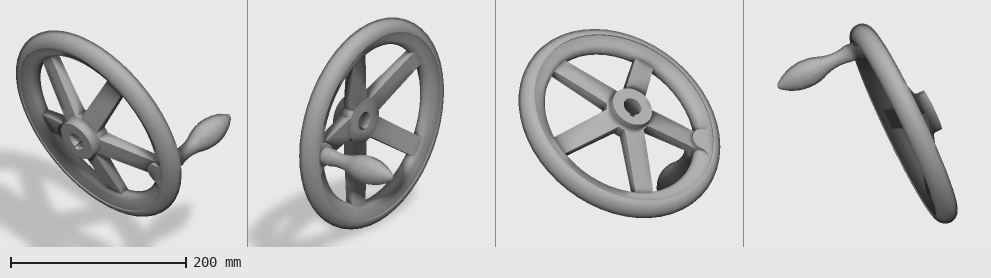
import cadquery as cq
import math


full_turn = 360

wheel_radius = 125.0
rim_round_radius = 13.0
rim_round_center = wheel_radius - rim_round_radius
rim_front_y = 23.8
rim_mid_y = rim_front_y + rim_round_radius
rim_back_y = rim_mid_y + rim_round_radius
rim_inner_radius = 94.2
nose_radius = 8.2
nose_center = rim_inner_radius + nose_radius
taper_angle = math.radians(15.5)

hub_nose_radius = 49.0 / 2
hub_body_radius = 27.0
hub_nose_length = 7.8
flare_radius = 4.2
flare_end_radius = hub_nose_radius + flare_radius
flare_end_y = hub_nose_length + flare_radius
bore_diameter = 22.0
keyway_width = 6.0
keyway_depth = 13.8

spoke_count = 5
spoke_root_width = 25.5
spoke_tip_width = 23.2
web_front_slope = 0.3
web_back_slope = 0.24
web_back_y = 26.0
web_outer_radius = nose_center

handle_x = 101.0
boss_radius = 14.0
boss_front_y = 25.5
boss_back_y = 48.8
boss_flare_mid = (106.0, 19.0)
boss_flare_end = (109.0, 25.8)
collar_radius = 20.0 / 2
collar_end_y = 60.2
grip_radius = 16.0
grip_center_y = 111.8
grip_arc_radius = 53.2
grip_start_y = 89.0
grip_end_y = 144.5
neck_start_radius = 9.5
neck_radius = 8.2
neck_y = 73.8
handle_end_y = 147.5


def revolve_about_y(profile):
    return profile.close().revolve(full_turn, (0, 0, 0), (0, 1, 0))


def make_rim():
    tangent_radius = nose_center - nose_radius * math.sin(taper_angle)
    tangent_offset = nose_radius * math.cos(taper_angle)
    shoulder_offset = tangent_offset + (rim_round_center - tangent_radius) * math.tan(taper_angle)
    profile = (
        cq.Workplane("XY")
        .moveTo(rim_round_center, rim_front_y)
        .threePointArc((wheel_radius, rim_mid_y), (rim_round_center, rim_back_y))
        .lineTo(rim_round_center, rim_mid_y + shoulder_offset)
        .lineTo(tangent_radius, rim_mid_y + tangent_offset)
        .threePointArc((rim_inner_radius, rim_mid_y), (tangent_radius, rim_mid_y - tangent_offset))
        .lineTo(rim_round_center, rim_mid_y - shoulder_offset)
    )
    return revolve_about_y(profile)


def make_spoke_blank(angle):
    return (
        cq.Workplane("XZ")
        .polyline([
            (0, -spoke_root_width / 2),
            (web_outer_radius, -spoke_tip_width / 2),
            (web_outer_radius, spoke_tip_width / 2),
            (0, spoke_root_width / 2),
        ])
        .close()
        .extrude(-rim_back_y)
        .rotate((0, 0, 0), (0, 1, 0), angle)
    )


def make_hub_and_spokes():
    """Dished, turned web and hub, trimmed to the hub body and the spokes."""
    flare_mid = flare_radius * math.sqrt(0.5)
    web_run = web_outer_radius - flare_end_radius
    back_run = web_outer_radius - hub_body_radius
    profile = (
        cq.Workplane("XY")
        .moveTo(0, 0)
        .lineTo(hub_nose_radius, 0)
        .lineTo(hub_nose_radius, hub_nose_length)
        .threePointArc(
            (flare_end_radius - flare_mid, hub_nose_length + flare_mid),
            (flare_end_radius, flare_end_y),
        )
        .lineTo(web_outer_radius, flare_end_y + web_front_slope * web_run)
        .lineTo(web_outer_radius, web_back_y + web_back_slope * back_run)
        .lineTo(hub_body_radius, web_back_y)
        .lineTo(0, web_back_y)
    )
    blank = cq.Workplane("XZ").circle(hub_body_radius).extrude(-rim_back_y)
    for index in range(spoke_count):
        blank = blank.union(make_spoke_blank(index * full_turn / spoke_count))
    return revolve_about_y(profile).intersect(blank)


def make_boss():
    """Round boss whose sides flare outwards where it runs into the rim."""
    mid_x, mid_z = boss_flare_mid
    end_x, end_z = boss_flare_end
    outline = (
        cq.Workplane("XZ", origin=(0, boss_front_y, 0))
        .moveTo(handle_x, -boss_radius)
        .threePointArc((handle_x - boss_radius, 0), (handle_x, boss_radius))
        .threePointArc((mid_x, mid_z), (end_x, end_z))
        .threePointArc((rim_round_center, 0), (end_x, -end_z))
        .threePointArc((mid_x, -mid_z), (handle_x, -boss_radius))
        .close()
    )
    return outline.extrude(boss_front_y - boss_back_y)


def grip_radius_at(y):
    return grip_radius - grip_arc_radius + math.sqrt(grip_arc_radius**2 - (y - grip_center_y) ** 2)


def make_handle():
    """Turned handle: plain collar, waisted neck, bulged grip and domed tip."""
    grip_start_radius = grip_radius_at(grip_start_y)
    tip_radius = grip_radius_at(grip_end_y)
    tip_length = handle_end_y - grip_end_y
    dome_radius = (tip_radius**2 + tip_length**2) / (2 * tip_length)
    dome_mid_radius = tip_radius / 2
    dome_mid_y = handle_end_y - dome_radius + math.sqrt(dome_radius**2 - dome_mid_radius**2)
    profile = (
        cq.Workplane("XY")
        .moveTo(0, rim_mid_y)
        .lineTo(collar_radius, rim_mid_y)
        .lineTo(collar_radius, collar_end_y)
        .lineTo(neck_start_radius, collar_end_y)
        .threePointArc((neck_radius, neck_y), (grip_start_radius, grip_start_y))
        .threePointArc((grip_radius, grip_center_y), (tip_radius, grip_end_y))
        .threePointArc((dome_mid_radius, dome_mid_y), (0, handle_end_y))
    )
    return revolve_about_y(profile).translate((handle_x, 0, 0))


def make_bore():
    bore = cq.Workplane("XZ").circle(bore_diameter / 2).extrude(-rim_back_y)
    keyway = (
        cq.Workplane("XZ")
        .center(0, -keyway_depth / 2)
        .rect(keyway_width, keyway_depth)
        .extrude(-rim_back_y)
    )
    return bore.union(keyway)


result = (
    make_rim()
    .union(make_hub_and_spokes())
    .union(make_boss())
    .union(make_handle())
    .cut(make_bore())
)